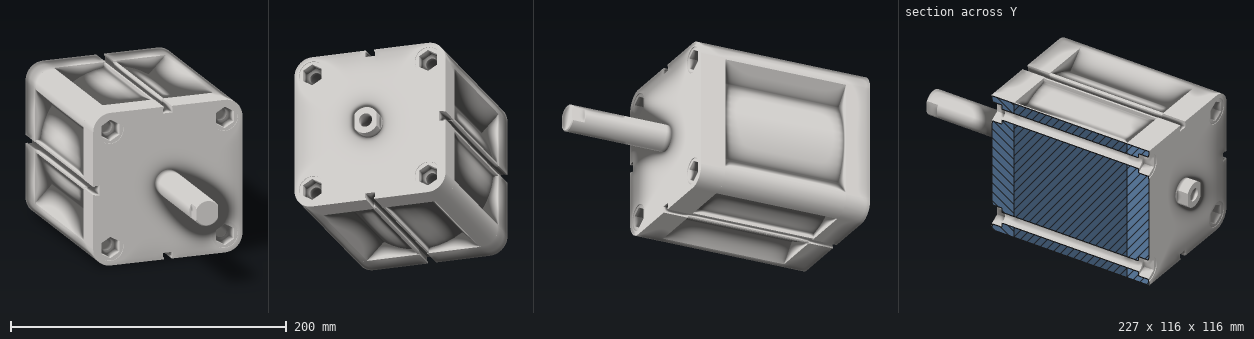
import cadquery as cq
import math

cap_length = 19.5
barrel_length = 98.0
stub_length = 10.0
rod_reach = 80.0
barrel_half = barrel_length / 2
cap_face = barrel_half + cap_length

width = 116.0
half_width = width / 2
screw_offset = 44.5
corner_radius = half_width - screw_offset

screw_hole_diameter = 9.0
seat_diameter = 20.0
seat_depth = 0.5
hex_across_flats = 14.0
hex_depth = 9.0

slot_angles = (0, 90, 180)
slot_floor = half_width - 5.0
slot_lip_underside = half_width - 1.4
cap_slot_width = 7.4
cap_neck_width = 6.2
barrel_slot_width = cap_neck_width
barrel_neck_width = 4.8

tube_radius = 54.0
web_start = 43.3
web_inner = 20.0
root_fillet = 1.2
ear_width = 9.2
ear_base = 45.0
ear_top = half_width - 0.4
ear_mouth_chamfer = 0.7

rod_diameter = 20.0
rod_across_flats = 17.0
flat_length = 10.0
rod_collar = 1.0
tip_chamfer = 0.8
tap_diameter = 10.2
tap_depth = 20.0
tap_point_angle = 118.0


def section_plane(x):
    """YZ workplane at x: local axes are Y and Z, extrusion runs toward +X."""
    return cq.Workplane("YZ", origin=(x, 0, 0))


def screw_points(plane):
    return plane.rect(2 * screw_offset, 2 * screw_offset, forConstruction=True).vertices()


def slot_cutter(x, length, slot_width, neck_width):
    """Undercut slot on the +Z side: a narrow neck over a wider chamber."""
    neck_height = half_width - slot_floor
    chamber_height = slot_lip_underside - slot_floor
    neck = section_plane(x).center(0, slot_floor + neck_height / 2)
    neck = neck.rect(neck_width, neck_height).extrude(length)
    chamber = section_plane(x).center(0, slot_floor + chamber_height / 2)
    chamber = chamber.rect(slot_width, chamber_height).extrude(length)
    return chamber.union(neck)


def turned(shape, angle):
    """Copy of the shape turned about the cylinder axis."""
    return shape.rotate((0, 0, 0), (1, 0, 0), angle)


def make_cap():
    """End cap with its outer face at -X, in place at the -X end of the barrel."""
    cap = section_plane(-cap_face).rect(width, width).extrude(cap_length)
    cap = cap.edges("|X").fillet(corner_radius)
    slot = slot_cutter(-cap_face, cap_length, cap_slot_width, cap_neck_width)
    for angle in slot_angles:
        cap = cap.cut(turned(slot, angle))
    cap = cap.cut(section_plane(-cap_face).circle(rod_diameter / 2).extrude(cap_length))

    holes = screw_points(section_plane(-cap_face)).circle(screw_hole_diameter / 2).extrude(cap_length)
    seats = screw_points(section_plane(-cap_face)).circle(seat_diameter / 2).extrude(seat_depth)
    hex_across_corners = hex_across_flats / math.cos(math.radians(30))
    hexagon = cq.Sketch().regularPolygon(hex_across_corners / 2, 6)
    sockets = screw_points(section_plane(-cap_face)).placeSketch(hexagon).extrude(hex_depth)
    return cap.cut(holes).cut(seats).cut(sockets)


def make_web():
    """Corner web of the barrel: two parallel flanks along the diagonal and a round outer end."""
    arc_height = screw_offset + math.sqrt(corner_radius**2 - (screw_offset - web_start) ** 2)
    arc_middle = screw_offset + corner_radius / math.sqrt(2)
    flank_run = web_start - web_inner
    return (
        section_plane(-barrel_half)
        .moveTo(web_inner, arc_height - flank_run)
        .lineTo(web_start, arc_height)
        .threePointArc((arc_middle, arc_middle), (arc_height, web_start))
        .lineTo(arc_height - flank_run, web_inner)
        .close()
        .extrude(barrel_length)
    )


def make_slot_mouth():
    """Wedge that chamfers both edges of the slot neck at the top of the ear."""
    inner = barrel_neck_width / 2
    outer = inner + ear_mouth_chamfer
    inner_height = ear_top - ear_mouth_chamfer
    outline = [(-inner, inner_height), (inner, inner_height), (outer, ear_top), (-outer, ear_top)]
    return section_plane(-barrel_half).polyline(outline).close().extrude(barrel_length)


def on_tube_surface(edge):
    """True for the lengthwise inside corners on the tube, but not for its seam on the Y axis."""
    middle = edge.Center()
    on_radius = math.isclose(math.hypot(middle.y, middle.z), tube_radius, abs_tol=0.01)
    return on_radius and abs(middle.z) > ear_width / 4


def make_ear():
    """Rib along the barrel that carries the +Z sensor slot."""
    ear_height = ear_top - ear_base
    ear = section_plane(-barrel_half).center(0, ear_base + ear_height / 2)
    return ear.rect(ear_width, ear_height).extrude(barrel_length)


def make_barrel():
    barrel = section_plane(-barrel_half).circle(tube_radius).extrude(barrel_length)
    web = make_web()
    for quarter in range(4):
        barrel = barrel.union(turned(web, 90 * quarter))
    ear = make_ear()
    for angle in slot_angles:
        barrel = barrel.union(turned(ear, angle))

    barrel = barrel.edges("|X").filter(on_tube_surface).fillet(root_fillet)

    slot = slot_cutter(-barrel_half, barrel_length, barrel_slot_width, barrel_neck_width)
    slot = slot.union(make_slot_mouth())
    for angle in slot_angles:
        barrel = barrel.cut(turned(slot, angle))
    holes = screw_points(section_plane(-barrel_half)).circle(screw_hole_diameter / 2)
    bore = section_plane(-barrel_half).circle(rod_diameter / 2).extrude(barrel_length)
    return barrel.cut(holes.extrude(barrel_length)).cut(bore)


def make_rod():
    start = -cap_face - stub_length
    end = cap_face + rod_reach
    rod = section_plane(start).circle(rod_diameter / 2).extrude(end - start)
    rod = rod.faces(">X").chamfer(tip_chamfer)

    flat_cut = (rod_diameter - rod_across_flats) / 2
    flat_middle = (rod_diameter - flat_cut) / 2
    stub_flat = stub_length - rod_collar
    for flat_x, length in ((start, stub_flat), (end - flat_length, flat_length)):
        flats = section_plane(flat_x).pushPoints([(-flat_middle, 0), (flat_middle, 0)])
        rod = rod.cut(flats.rect(flat_cut, rod_diameter).extrude(length))

    tap_radius = tap_diameter / 2
    point_depth = tap_radius / math.tan(math.radians(tap_point_angle / 2))
    tap = (
        cq.Workplane("XY")
        .moveTo(start, 0)
        .lineTo(start, tap_radius)
        .lineTo(start + tap_depth, tap_radius)
        .lineTo(start + tap_depth + point_depth, 0)
        .close()
        .revolve(360, (0, 0, 0), (1, 0, 0))
    )
    return rod.cut(tap)


left_cap = make_cap()
right_cap = left_cap.mirror("YZ")
barrel = make_barrel()
rod = make_rod()
result = cq.Compound.makeCompound([left_cap.val(), right_cap.val(), barrel.val(), rod.val()])